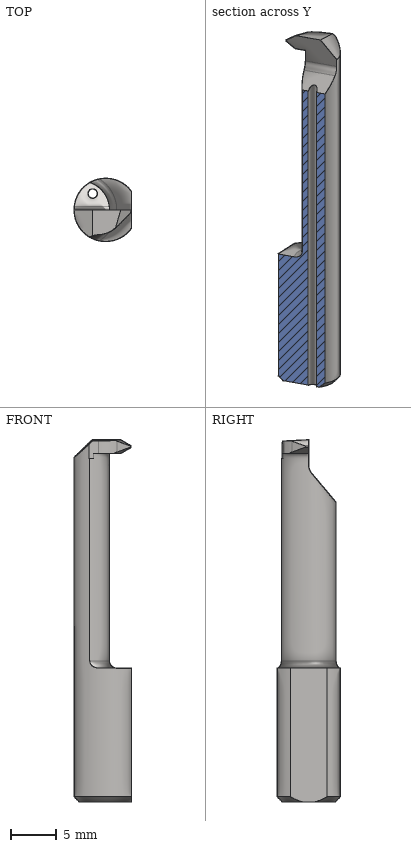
import cadquery as cq
import math

LENGTH = 40.0
SHANK_RADIUS = 3.5
FLAT_X = 2.85
END_CHAMFER = 0.6
SHOULDER_Z = 14.8

NECK_RADIUS = 3.19
NECK_EDGE_X = 0.42
NECK_CENTER_X = NECK_EDGE_X - NECK_RADIUS
FLARE_RADIUS = 0.8

HOLE_DIAMETER = 1.0
HOLE_X = -1.43
HOLE_Y = 1.8

RAMP_TOP_Z = 36.68
RAMP_ANGLE = 50.0
RAMP_BLEND_RADIUS = 1.5

HEAD_HEIGHT = 1.55
HEAD_BOTTOM_Z = LENGTH - HEAD_HEIGHT
TOP_BEVEL_X = -1.48
TOP_BEVEL_ANGLE = 44.0
FACE_RELIEF = 3.0
WALL_START_Y = -2.97
WALL_END = (-0.8, -2.72)
HEEL_MIDDLE = (0.4, -2.45)
HEEL_END = (1.26, -1.84)
WALL_FLOOR_Z = 37.9

TIP_X = 2.8
TIP_RELIEF_DEPTH = 0.37
TIP_RELIEF_STEP = 0.08
TIP_HALF_WIDTH = 0.1
TIP_FLANK_ANGLE = 30.0
TIP_FLANK_RELIEF = 12.5

CLEAR = 10.0


def tangent(degrees):
    return math.tan(math.radians(degrees))


def wall_start():
    """Point where the flat head wall meets the shank round."""
    return (-math.sqrt(SHANK_RADIUS**2 - WALL_START_Y**2), WALL_START_Y)


def make_shank():
    shank = cq.Workplane("XY").circle(SHANK_RADIUS).extrude(LENGTH)
    shank = shank.faces("<Z").chamfer(END_CHAMFER)
    beyond_flat = cq.Workplane("XY").box(CLEAR, CLEAR, LENGTH, centered=(False, True, False))
    return shank.cut(beyond_flat.translate((FLAT_X, 0, 0)))


def make_neck_keeper():
    """Everything kept when the neck is turned: neck, flare and a wide base below the shoulder."""
    flare_mid = FLARE_RADIUS * (1 - math.sqrt(0.5))
    profile = (
        cq.Workplane("XZ")
        .lineTo(CLEAR, 0)
        .lineTo(CLEAR, SHOULDER_Z)
        .lineTo(NECK_RADIUS + FLARE_RADIUS, SHOULDER_Z)
        .threePointArc(
            (NECK_RADIUS + flare_mid, SHOULDER_Z + flare_mid),
            (NECK_RADIUS, SHOULDER_Z + FLARE_RADIUS),
        )
        .lineTo(NECK_RADIUS, LENGTH)
        .lineTo(0, LENGTH)
        .close()
    )
    return profile.revolve(360, (0, 0, 0), (0, 1, 0)).translate((NECK_CENTER_X, 0, 0))


def make_ramp_cutter():
    """Clears the +Y half above the ramp, with a round blend into the rake face."""
    ramp_end_z = RAMP_TOP_Z - CLEAR * tangent(RAMP_ANGLE)
    outline = [(0, LENGTH + CLEAR), (0, RAMP_TOP_Z), (CLEAR, ramp_end_z), (CLEAR, LENGTH + CLEAR)]
    cutter = cq.Workplane("YZ").polyline(outline).close().extrude(CLEAR, both=True)
    ramp_top_edge = cq.selectors.NearestToPointSelector((0, 0, RAMP_TOP_Z))
    return cutter.edges(ramp_top_edge).fillet(RAMP_BLEND_RADIUS)


def make_wall_cutter():
    """Clears what stands outside the flat wall on the heel side of the neck."""
    start = wall_start()
    return (
        cq.Workplane("XY", origin=(0, 0, WALL_FLOOR_Z))
        .polyline([start, WALL_END, (WALL_END[0], -CLEAR), (start[0], -CLEAR)])
        .close()
        .extrude(CLEAR)
    )


def make_head_blank():
    start = wall_start()
    return (
        cq.Workplane("XY", origin=(0, 0, HEAD_BOTTOM_Z))
        .moveTo(start[0], 0)
        .lineTo(*start)
        .lineTo(*WALL_END)
        .threePointArc(HEEL_MIDDLE, HEEL_END)
        .lineTo(TIP_X - TIP_RELIEF_STEP, -TIP_RELIEF_DEPTH)
        .lineTo(TIP_X, 0)
        .close()
        .extrude(HEAD_HEIGHT)
    )


def make_top_cutter():
    """Top face and its bevel, sinking away from the rake face at the relief angle."""
    bevel_drop = CLEAR * tangent(TOP_BEVEL_ANGLE)
    outline = [(CLEAR, 0), (TOP_BEVEL_X, 0), (TOP_BEVEL_X - CLEAR, -bevel_drop)]
    outline += [(TOP_BEVEL_X - CLEAR, CLEAR), (CLEAR, CLEAR)]
    cutter = cq.Workplane("XZ").polyline(outline).close().extrude(CLEAR, both=True)
    return cutter.rotate((0, 0, 0), (1, 0, 0), FACE_RELIEF).translate((0, 0, LENGTH))


def make_flank_cutter():
    """Upper flank of the tip, sinking away from the rake face at the flank relief angle."""
    rise = CLEAR * tangent(TIP_FLANK_ANGLE)
    outline = [(-CLEAR, rise), (CLEAR, -rise), (CLEAR, CLEAR)]
    cutter = cq.Workplane("XZ").polyline(outline).close().extrude(CLEAR, both=True)
    cutter = cutter.rotate((0, 0, 0), (1, 0, 0), TIP_FLANK_RELIEF)
    return cutter.translate((TIP_X, 0, LENGTH - HEAD_HEIGHT / 2 + TIP_HALF_WIDTH))


def make_head():
    upper_flank = make_flank_cutter()
    lower_flank = upper_flank.mirror("XY", (0, 0, LENGTH - HEAD_HEIGHT / 2))
    return make_head_blank().cut(upper_flank).cut(lower_flank)


def make_hole():
    return cq.Workplane("XY").center(HOLE_X, HOLE_Y).circle(HOLE_DIAMETER / 2).extrude(LENGTH)


body = make_shank().intersect(make_neck_keeper())
body = body.cut(make_ramp_cutter()).cut(make_wall_cutter())
body = body.union(make_head()).cut(make_top_cutter())
result = body.cut(make_hole())